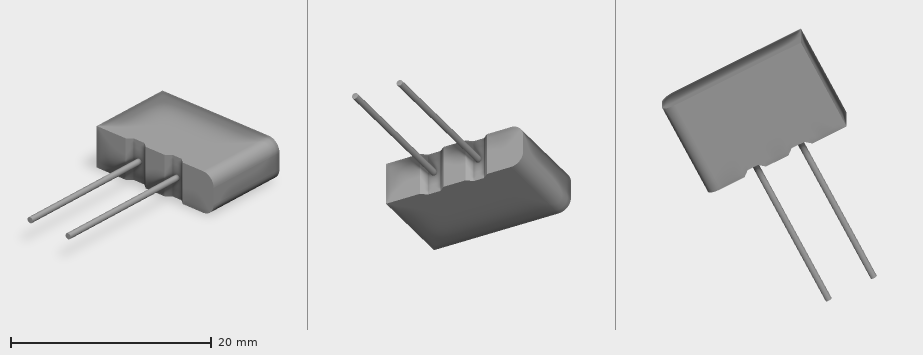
import cadquery as cq

overall_length = 25.8
body_width = 15.63
body_depth = 9.9
body_height = 4.72
edge_radius = 1.4

notch_depth = 0.52
flank_width = 0.62
notch_spans = [(3.87, 6.55), (9.08, 11.5)]

lead_diameter = 0.67
lead_pitch = 5.08
first_lead_x = 5.2
lead_count = 2
lead_length = overall_length - body_depth + notch_depth


def make_notch(x_start, x_end):
    """Trapezoidal groove cut through the full height of the lead face at Y = 0."""
    return (
        cq.Workplane("XY")
        .moveTo(x_start, 0)
        .lineTo(x_start + flank_width, notch_depth)
        .lineTo(x_end - flank_width, notch_depth)
        .lineTo(x_end, 0)
        .close()
        .extrude(body_height)
    )


def make_housing():
    """Capacitor body: a block with two rounded edges on +X and a notch for each lead."""
    housing = (
        cq.Workplane("XY")
        .box(body_width, body_depth, body_height, centered=False)
        .edges("|Y and >X")
        .fillet(edge_radius)
    )
    for x_start, x_end in notch_spans:
        housing = housing.cut(make_notch(x_start, x_end))
    return housing


def make_lead(x_center):
    """Straight round wire that starts on the notch floor and points along -Y."""
    return (
        cq.Workplane("XZ", origin=(x_center, notch_depth, body_height / 2))
        .circle(lead_diameter / 2)
        .extrude(lead_length)
    )


housing = make_housing()
leads = [make_lead(first_lead_x + i * lead_pitch) for i in range(lead_count)]

result = cq.Compound.makeCompound([housing.val(), *[lead.val() for lead in leads]])